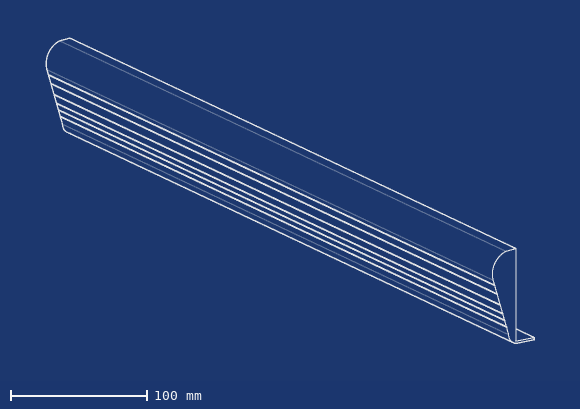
import cadquery as cq
import math

length = 596.0
depth = 37.0
height = 73.5

back_y = 21.0
lip_thickness = 2.0
crown_y = 12.0
crown_drop = 0.5
nose_radius = 16.0
nose_mid_angle = math.radians(30)
slope_angle = 17.0
toe_y = 14.5
toe_radius = 8.5

groove_heights = (48.0, 41.0, 32.0, 25.0, 19.5, 14.5)
groove_width = 0.5
groove_depth = 0.35

slope = math.radians(slope_angle)
crown_z = height - crown_drop

nose_center_y = nose_radius
nose_center_z = crown_z - math.sqrt(nose_radius**2 - (nose_center_y - crown_y) ** 2)


def nose_point(angle):
    """Point on the nose arc, at an angle above the forward direction."""
    return (
        nose_center_y - nose_radius * math.cos(angle),
        nose_center_z + nose_radius * math.sin(angle),
    )


face_top_y, face_top_z = nose_point(-slope)


def face_y(z):
    """Depth of the sloping front face at a height."""
    return face_top_y + (face_top_z - z) * math.tan(slope)


toe_z = face_top_z - (toe_y - face_top_y) / math.tan(slope)

section = (
    cq.Workplane("YZ")
    .moveTo(back_y, height)
    .lineTo(crown_y, crown_z)
    .threePointArc(nose_point(nose_mid_angle), (face_top_y, face_top_z))
)
for groove_z in groove_heights:
    groove_top = groove_z + groove_width / 2
    groove_bottom = groove_z - groove_width / 2
    section = (
        section.lineTo(face_y(groove_top), groove_top)
        .lineTo(face_y(groove_z) + groove_depth, groove_z)
        .lineTo(face_y(groove_bottom), groove_bottom)
    )

section = (
    section.lineTo(toe_y, toe_z)
    .radiusArc((back_y, 0), -toe_radius)
    .lineTo(depth, 0)
    .lineTo(depth, lip_thickness)
    .lineTo(back_y, lip_thickness)
    .close()
)

result = section.extrude(length)